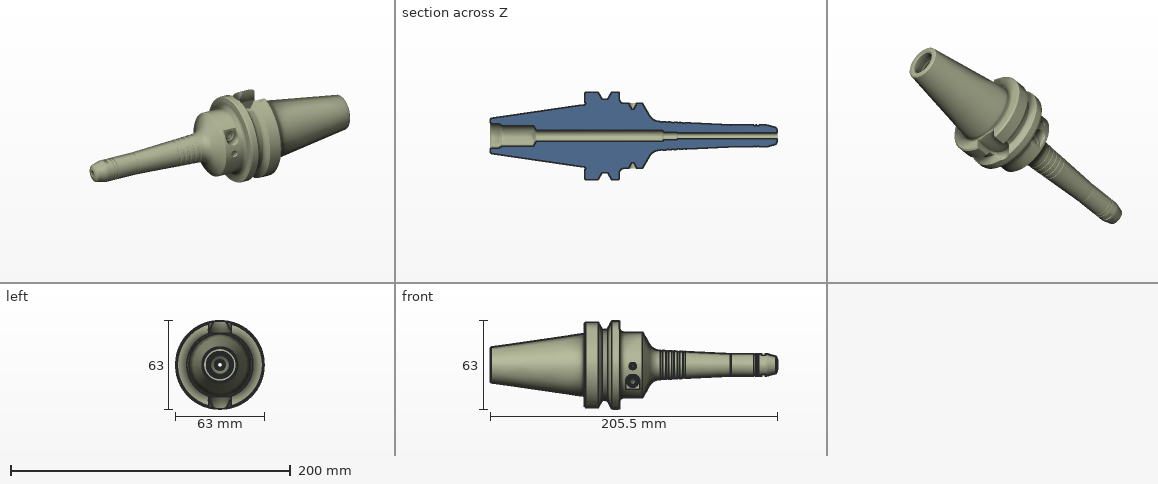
import cadquery as cq
import math

LENGTH = 205.5

TAPER_LENGTH = 65.3
GAUGE_RADIUS = 22.2
TAPER_RATE = 7 / 24 / 2
TAPER_CHAMFER = 0.8
NECK_FILLET = 1.2
RELIEF_DEPTH = 0.6
RELIEF_RADIUS = 23.6

FLANGE_START = 67.4
FLANGE_END = 92.5
FLANGE_RADIUS = 63.0 / 2
FLANGE_CHAMFER = 1.0
RIM_BEVEL_LENGTH = 1.2
RIM_BEVEL_DEPTH = 0.3
GROOVE_CENTRE = 82.0
GROOVE_FLOOR_WIDTH = 4.0
GROOVE_FLOOR_RADIUS = 26.5
GROOVE_WALL_ANGLE = 30

SLOT_WIDTH = 16.0
SLOT_FLOOR = 22.5
SLOT_END = 88.0

COLLAR_RADIUS = 23.5
COLLAR_FILLET = 3.0
COLLAR_END = 109.0
COLLAR_CHAMFER = 0.5
SHOULDER_ANGLE = 60
SHOULDER_FILLET = 8.0

SHANK_START_RADIUS = 10.5
SHANK_START = 121.2
TIP_START = 172.0
TIP_RADIUS = 8.0
NOSE_BEVEL_START = 197.0
NOSE_BEVEL_END = 198.2
NOSE_BEVEL_DEPTH = 0.2
NOSE_CONE_END = 204.2
NOSE_RADIUS = 6.2
NOSE_ROUND_X = 205.0
NOSE_ROUND_RADIUS = 4.7

RIB_GROOVE_START = 121.5
RIB_GROOVE_SPAN = 16.0
RIB_GROOVE_COUNT = 5
RIB_GROOVE_PITCH = RIB_GROOVE_SPAN / (RIB_GROOVE_COUNT - 1)
RIB_GROOVE_WIDTH = 1.8
RIB_GROOVE_WALL = 0.2
RIB_GROOVE_DEPTH = 0.3
PARTING_GROOVE_WIDTH = 0.6
PARTING_GROOVE_DEPTH = 0.2
TIP_GROOVE_START = 188.4
TIP_GROOVE_PITCH = 2.5
TIP_GROOVE_COUNT = 2
TIP_GROOVE_WIDTH = 1.2
TIP_GROOVE_RADIUS = 15.0 / 2

FLAT_START = 194.0
FLAT_WIDTH = 2.7
FLAT_HEIGHT = 7.0

MOUTH_RADIUS = 19.0 / 2
COUNTERBORE_RADIUS = 17.0 / 2
COUNTERBORE_DEPTH = 6.2
THREAD_MOUTH_RADIUS = 16.0 / 2
THREAD_MOUTH_DEPTH = 7.4
THREAD_RADIUS = 14.2 / 2
THREAD_DEPTH = 30.8
DUCT_MOUTH_RADIUS = 8.0 / 2
DUCT_RADIUS = 7.4 / 2
DUCT_END = 123.2
OUTLET_RADIUS = 5.0 / 2
THROUGH_RADIUS = 4.0 / 2
THROUGH_START = 133.5
DRILL_POINT_ANGLE = 59

SCREW_X = 101.9
POCKET_OFFSET = 12.0
POCKET_DIAMETER = 10.0
POCKET_FLOOR = 15.8
SEAT_DIAMETER = 8.0
SCREW_DIAMETER = 6.0
SCREW_RECESS = 1.0
SOCKET_DIAMETER = 4.5
SOCKET_DEPTH = 3.0
PIN_HOLE_DIAMETER = 5.0
PIN_HOLE_OFFSET = 0.8
PIN_RECESS = 1.6
PIN_DIAMETER = 4.0
PIN_SOCKET_DIAMETER = 2.3
PIN_STEP = 1.2


def revolve_about_x(outline):
    """Spin a closed (x, radius) outline about the tool axis."""
    return outline.close().revolve(360, (0, 0, 0), (1, 0, 0))


def ring(start, width, inner_radius, outer_radius):
    """Square-sided ring around the tool axis."""
    outer = cq.Workplane("YZ", origin=(start, 0, 0)).circle(outer_radius)
    return outer.circle(inner_radius).extrude(width)


def cone_from_front(x, z, depth_y, diameter, length, end_diameter=0):
    """Cutter along Y that starts at Y = -depth_y and narrows towards the tool axis."""
    inward = cq.Vector(0, 1, 0)
    start = cq.Vector(x, -depth_y, z)
    return cq.Workplane(cq.Solid.makeCone(diameter / 2, end_diameter / 2, length, start, inward))


def cylinder_from_front(x, z, diameter, depth_y):
    """Round cutter along Y, entering from -Y and stopping at Y = -depth_y."""
    start = cq.Workplane("XZ", origin=(x, -depth_y, z))
    return start.circle(diameter / 2).extrude(FLANGE_RADIUS - depth_y)


def with_opposite(cutter):
    """The cutter together with its copy turned half a turn about the tool axis."""
    return cutter.union(cutter.rotate((0, 0, 0), (1, 0, 0), 180))


def shank_radius(x):
    """Radius of the slim cone at x."""
    slope = (SHANK_START_RADIUS - TIP_RADIUS) / (TIP_START - SHANK_START)
    return SHANK_START_RADIUS - slope * (x - SHANK_START)


def body():
    small_end = GAUGE_RADIUS - TAPER_RATE * TAPER_LENGTH
    groove_run = (FLANGE_RADIUS - GROOVE_FLOOR_RADIUS) * math.tan(math.radians(GROOVE_WALL_ANGLE))
    floor_half = GROOVE_FLOOR_WIDTH / 2
    relief_x = FLANGE_START + RELIEF_DEPTH
    neck_x = relief_x - NECK_FILLET
    diagonal = math.sqrt(0.5)

    angle = math.radians(SHOULDER_ANGLE)
    fillet_drop = SHOULDER_FILLET * (1 - math.cos(angle))
    slope_drop = COLLAR_RADIUS - COLLAR_CHAMFER - SHANK_START_RADIUS - fillet_drop
    fillet_x = COLLAR_END + slope_drop / math.tan(angle)
    fillet_end = fillet_x + SHOULDER_FILLET * math.sin(angle)
    fillet_centre = SHANK_START_RADIUS + SHOULDER_FILLET
    half = angle / 2
    fillet_mid = (
        fillet_end - SHOULDER_FILLET * math.sin(half),
        fillet_centre - SHOULDER_FILLET * math.cos(half),
    )

    outline = (
        cq.Workplane("XY")
        .moveTo(0, 0)
        .lineTo(0, small_end - TAPER_CHAMFER)
        .lineTo(TAPER_CHAMFER, small_end + TAPER_RATE * TAPER_CHAMFER)
        .lineTo(TAPER_LENGTH, GAUGE_RADIUS)
        .lineTo(neck_x, GAUGE_RADIUS)
        .threePointArc(
            (neck_x + NECK_FILLET * diagonal, GAUGE_RADIUS + NECK_FILLET * (1 - diagonal)),
            (relief_x, GAUGE_RADIUS + NECK_FILLET),
        )
        .lineTo(relief_x, RELIEF_RADIUS)
        .lineTo(FLANGE_START, RELIEF_RADIUS)
        .lineTo(FLANGE_START, FLANGE_RADIUS - FLANGE_CHAMFER)
        .lineTo(FLANGE_START + FLANGE_CHAMFER, FLANGE_RADIUS)
        .lineTo(GROOVE_CENTRE - floor_half - groove_run, FLANGE_RADIUS)
        .lineTo(GROOVE_CENTRE - floor_half, GROOVE_FLOOR_RADIUS)
        .lineTo(GROOVE_CENTRE + floor_half, GROOVE_FLOOR_RADIUS)
        .lineTo(GROOVE_CENTRE + floor_half + groove_run, FLANGE_RADIUS)
        .lineTo(FLANGE_END - RIM_BEVEL_LENGTH, FLANGE_RADIUS)
        .lineTo(FLANGE_END, FLANGE_RADIUS - RIM_BEVEL_DEPTH)
        .lineTo(FLANGE_END, COLLAR_RADIUS + COLLAR_FILLET)
        .threePointArc(
            (
                FLANGE_END + COLLAR_FILLET * (1 - diagonal),
                COLLAR_RADIUS + COLLAR_FILLET * (1 - diagonal),
            ),
            (FLANGE_END + COLLAR_FILLET, COLLAR_RADIUS),
        )
        .lineTo(COLLAR_END - COLLAR_CHAMFER, COLLAR_RADIUS)
        .lineTo(COLLAR_END, COLLAR_RADIUS - COLLAR_CHAMFER)
        .lineTo(fillet_x, SHANK_START_RADIUS + fillet_drop)
        .threePointArc(fillet_mid, (fillet_end, SHANK_START_RADIUS))
        .lineTo(SHANK_START, SHANK_START_RADIUS)
        .lineTo(TIP_START, TIP_RADIUS)
        .lineTo(NOSE_BEVEL_START, TIP_RADIUS)
        .lineTo(NOSE_BEVEL_END, TIP_RADIUS - NOSE_BEVEL_DEPTH)
        .lineTo(NOSE_CONE_END, NOSE_RADIUS)
        .threePointArc((NOSE_ROUND_X, NOSE_ROUND_RADIUS), (LENGTH, OUTLET_RADIUS))
        .lineTo(LENGTH, 0)
    )
    return revolve_about_x(outline)


def bore():
    def point_length(large_radius, small_radius):
        """Length of the drill-point cone between two radii."""
        return (large_radius - small_radius) / math.tan(math.radians(DRILL_POINT_ANGLE))

    mouth_chamfer = MOUTH_RADIUS - COUNTERBORE_RADIUS
    thread_chamfer = THREAD_MOUTH_RADIUS - THREAD_RADIUS
    duct_chamfer = DUCT_MOUTH_RADIUS - DUCT_RADIUS
    outlet_chamfer = OUTLET_RADIUS - THROUGH_RADIUS
    duct_start = THREAD_DEPTH + point_length(THREAD_RADIUS, DUCT_MOUTH_RADIUS)
    outline = (
        cq.Workplane("XY")
        .moveTo(0, 0)
        .lineTo(0, MOUTH_RADIUS)
        .lineTo(mouth_chamfer, COUNTERBORE_RADIUS)
        .lineTo(COUNTERBORE_DEPTH, COUNTERBORE_RADIUS)
        .lineTo(COUNTERBORE_DEPTH, THREAD_MOUTH_RADIUS)
        .lineTo(THREAD_MOUTH_DEPTH, THREAD_MOUTH_RADIUS)
        .lineTo(THREAD_MOUTH_DEPTH + thread_chamfer, THREAD_RADIUS)
        .lineTo(THREAD_DEPTH, THREAD_RADIUS)
        .lineTo(duct_start, DUCT_MOUTH_RADIUS)
        .lineTo(duct_start + duct_chamfer, DUCT_RADIUS)
        .lineTo(DUCT_END, DUCT_RADIUS)
        .lineTo(DUCT_END + point_length(DUCT_RADIUS, OUTLET_RADIUS), OUTLET_RADIUS)
        .lineTo(THROUGH_START, OUTLET_RADIUS)
        .lineTo(THROUGH_START + point_length(OUTLET_RADIUS, THROUGH_RADIUS), THROUGH_RADIUS)
        .lineTo(LENGTH - outlet_chamfer, THROUGH_RADIUS)
        .lineTo(LENGTH, OUTLET_RADIUS)
        .lineTo(LENGTH, 0)
    )
    return revolve_about_x(outline)


def drive_slots():
    half_width = SLOT_WIDTH / 2
    round_centre = SLOT_END - half_width
    slot = (
        cq.Workplane("XY", origin=(0, 0, SLOT_FLOOR))
        .moveTo(TAPER_LENGTH, -half_width)
        .lineTo(round_centre, -half_width)
        .threePointArc((SLOT_END, 0), (round_centre, half_width))
        .lineTo(TAPER_LENGTH, half_width)
        .close()
        .extrude(FLANGE_RADIUS - SLOT_FLOOR)
    )
    return with_opposite(slot)


def rib_groove(start):
    """Shallow groove with slightly sloping walls, following the cone of the shank."""
    end = start + RIB_GROOVE_WIDTH
    floor_start = start + RIB_GROOVE_WALL
    floor_end = end - RIB_GROOVE_WALL
    outline = (
        cq.Workplane("XY")
        .moveTo(start, shank_radius(start))
        .lineTo(floor_start, shank_radius(floor_start) - RIB_GROOVE_DEPTH)
        .lineTo(floor_end, shank_radius(floor_end) - RIB_GROOVE_DEPTH)
        .lineTo(end, shank_radius(end))
        .lineTo(end, FLANGE_RADIUS)
        .lineTo(start, FLANGE_RADIUS)
    )
    return revolve_about_x(outline)


def shank_rings():
    cutters = ring(
        TIP_START - PARTING_GROOVE_WIDTH / 2,
        PARTING_GROOVE_WIDTH,
        TIP_RADIUS - PARTING_GROOVE_DEPTH,
        FLANGE_RADIUS,
    )
    for i in range(RIB_GROOVE_COUNT):
        start = RIB_GROOVE_START + i * RIB_GROOVE_PITCH
        cutters = cutters.union(rib_groove(start))
    for i in range(TIP_GROOVE_COUNT):
        start = TIP_GROOVE_START + i * TIP_GROOVE_PITCH
        cutters = cutters.union(ring(start, TIP_GROOVE_WIDTH, TIP_GROOVE_RADIUS, FLANGE_RADIUS))
    return cutters


def tip_flats():
    flat = cq.Workplane("XY", origin=(FLAT_START + FLAT_WIDTH / 2, 0, FLAT_HEIGHT))
    return with_opposite(flat.rect(FLAT_WIDTH, 2 * TIP_RADIUS).extrude(TIP_RADIUS))


def screw_pockets():
    """Flat-floored pockets, open sideways, with a sunk socket screw in the floor."""
    pocket = cylinder_from_front(SCREW_X, -POCKET_OFFSET, POCKET_DIAMETER, POCKET_FLOOR)
    opening = (
        cq.Workplane("XZ", origin=(SCREW_X, -POCKET_FLOOR, -POCKET_OFFSET - COLLAR_RADIUS / 2))
        .rect(POCKET_DIAMETER, COLLAR_RADIUS)
        .extrude(COLLAR_RADIUS - POCKET_FLOOR)
    )
    seat = cone_from_front(
        SCREW_X, -POCKET_OFFSET, POCKET_FLOOR, SEAT_DIAMETER, SCREW_RECESS, SCREW_DIAMETER
    )
    socket_floor = POCKET_FLOOR - SOCKET_DEPTH
    socket = cylinder_from_front(SCREW_X, -POCKET_OFFSET, SOCKET_DIAMETER, socket_floor)
    point_length = SOCKET_DIAMETER / 2 / math.tan(math.radians(DRILL_POINT_ANGLE))
    point = cone_from_front(SCREW_X, -POCKET_OFFSET, socket_floor, SOCKET_DIAMETER, point_length)
    return with_opposite(pocket.union(opening).union(seat).union(socket).union(point))


def pin_holes():
    """Holes that step down twice towards the tool axis."""
    hole_floor = COLLAR_RADIUS - PIN_RECESS
    cutter = cylinder_from_front(SCREW_X, -PIN_HOLE_OFFSET, PIN_HOLE_DIAMETER, hole_floor)
    for step, diameter in enumerate((PIN_DIAMETER, PIN_SOCKET_DIAMETER), start=1):
        floor = hole_floor - step * PIN_STEP
        cutter = cutter.union(cylinder_from_front(SCREW_X, -PIN_HOLE_OFFSET, diameter, floor))
    return with_opposite(cutter)


result = body()
for cutter in (bore(), drive_slots(), shank_rings(), tip_flats(), screw_pockets(), pin_holes()):
    result = result.cut(cutter)